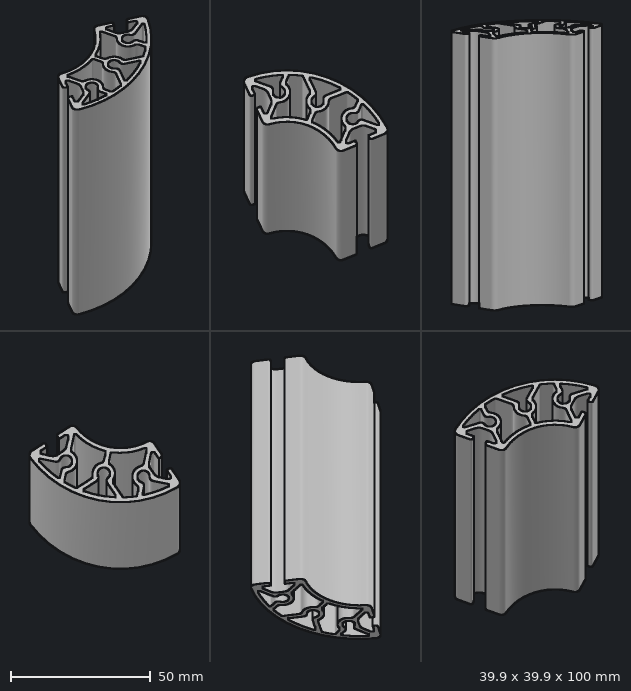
import cadquery as cq
import math

length = 100.0
outer_radius = 40.0
inner_radius = 20.0
mid_radius = (outer_radius + inner_radius) / 2
wall = 1.8
end_corner_radius = 2.0

bore_radius = 2.2
channel_radius = bore_radius + wall
channel_depth = 10.0
web_reach = 15.0
junction_radius = 1.5
cell_corner_radius = 0.5

slot_opening = 5.0
slot_floor = 6.3
slot_corner_radius = 0.8
slot_floor_radius = 3.0
lip_radius = 0.8

tolerance = 0.01

diagonal = mid_radius * math.cos(math.radians(45))
centre_channel = (diagonal, diagonal)
x_face_channel = (channel_depth, mid_radius)
y_face_channel = (mid_radius, channel_depth)

channels = [
    (x_face_channel, (45, 135, 225)),
    (centre_channel, (0, 90, 225)),
    (y_face_channel, (-45, 45, 225)),
]


def quarter_ring(inside, outside):
    """Quarter of a ring between two radii, in the quadrant +X, +Y."""
    return (
        cq.Workplane("XY")
        .moveTo(inside, 0)
        .lineTo(outside, 0)
        .radiusArc((0, outside), -outside)
        .lineTo(0, inside)
        .radiusArc((inside, 0), inside)
        .close()
        .extrude(length)
    )


def channel_web(centre, web_angles):
    """Open channel wall with its three webs."""
    first_angle = web_angles[0]
    tube = cq.Workplane("XY").circle(channel_radius).extrude(length)
    opening = cq.Workplane("XY").rect(channel_radius, channel_radius, centered=False).extrude(length)
    web = tube.cut(opening).rotate((0, 0, 0), (0, 0, 1), first_angle)
    for angle in web_angles:
        arm = cq.Workplane("XY").center(web_reach / 2, 0).rect(web_reach, wall).extrude(length)
        web = web.union(arm.rotate((0, 0, 0), (0, 0, 1), angle))
    bore = cq.Workplane("XY").circle(bore_radius).extrude(length)
    web = web.cut(bore.rotate((0, 0, 0), (0, 0, 1), first_angle))
    return web.translate((*centre, 0))


def mirrored_across_diagonal(shape):
    """Mirror image across the plane X = Y."""
    return shape.mirror(cq.Vector(1, -1, 0))


def end_block():
    """Triangle between the face X = 0 and the channel behind it; keeps the cells off the slot."""
    return (
        cq.Workplane("XY")
        .polyline([(0, inner_radius), x_face_channel, (0, outer_radius)])
        .close()
        .extrude(length)
        .cut(cq.Workplane("XY").center(*x_face_channel).circle(bore_radius).extrude(length))
    )


def near_channel(edge):
    """True where a web meets a channel, rather than the shell."""
    point = edge.Center()
    distances = [math.hypot(point.x - x, point.y - y) for (x, y), _ in channels]
    return min(distances) < channel_radius + wall / 2


def away_from_channels(edge):
    return not near_channel(edge)


def hollow_cells():
    """The closed cells between shell and webs, with rounded corners."""
    cells = quarter_ring(inner_radius + wall, outer_radius - wall)
    for centre, web_angles in channels:
        cells = cells.cut(channel_web(centre, web_angles))
    block = end_block()
    cells = cells.cut(block).cut(mirrored_across_diagonal(block))
    cells = cells.edges("|Z").filter(away_from_channels).fillet(cell_corner_radius)
    return cells.edges("|Z").filter(near_channel).fillet(junction_radius)


def slot():
    """T-slot in the face X = 0, with 45-degree flanks parallel to the webs."""
    flank_offset = channel_depth - wall / 2 * math.sqrt(2)
    half_floor = flank_offset - slot_floor
    half_mouth = flank_offset - wall
    chamber = (
        cq.Workplane("XY")
        .polyline([
            (wall, mid_radius - half_mouth),
            (slot_floor, mid_radius - half_floor),
            (slot_floor, mid_radius + half_floor),
            (wall, mid_radius + half_mouth),
        ])
        .close()
        .extrude(length)
        .edges("|Z and <X")
        .fillet(slot_corner_radius)
        .edges("|Z and >X")
        .fillet(slot_floor_radius)
    )
    opening = cq.Workplane("XY").center(wall, mid_radius).rect(2 * wall, slot_opening).extrude(length)
    return chamber.union(opening)


def profile_body():
    """Solid quarter ring with its four corners rounded."""
    return quarter_ring(inner_radius, outer_radius).edges("|Z").fillet(end_corner_radius)


def on_slot_lip(edge):
    """True for the four outer edges of the slot openings."""
    point = edge.Center()
    on_face = min(point.x, point.y) < tolerance
    offset = abs(max(point.x, point.y) - mid_radius)
    return on_face and abs(offset - slot_opening / 2) < tolerance


face_slot = slot()
result = profile_body().cut(hollow_cells())
result = result.cut(face_slot).cut(mirrored_across_diagonal(face_slot))
result = result.edges("|Z").filter(on_slot_lip).fillet(lip_radius)